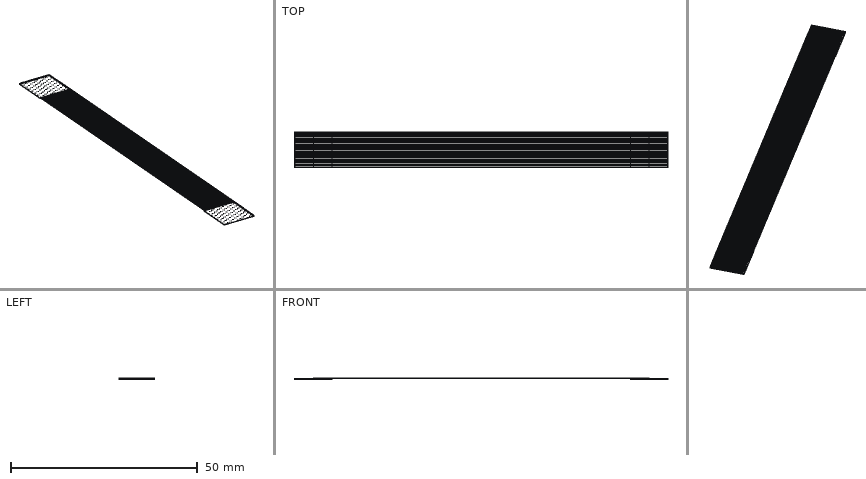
import cadquery as cq

cable_length = 100.0
conductor_pitch = 0.5
conductor_count = 18
conductor_width = 0.3
cable_width = (conductor_count + 1) * conductor_pitch

contact_length = 5.0
stiffener_length = 10.0
sleeve_length = cable_length - 2 * contact_length

total_thickness = 0.36
film_thickness = 0.05
conductor_thickness = 0.02
stiffener_thickness = total_thickness - 2 * film_thickness - conductor_thickness

base_bottom = stiffener_thickness
conductor_bottom = base_bottom + film_thickness
cover_bottom = conductor_bottom + conductor_thickness


def make_film(length, bottom):
    """Full-width film centred on the cable."""
    return cq.Workplane("XY").workplane(offset=bottom).rect(length, cable_width).extrude(film_thickness)


def make_conductors():
    """Evenly spaced flat conductors running the full length of the cable."""
    return (
        cq.Workplane("XY")
        .workplane(offset=conductor_bottom)
        .rarray(cable_length, conductor_pitch, 1, conductor_count)
        .rect(cable_length, conductor_width)
        .extrude(conductor_thickness)
    )


def make_side_walls():
    """Film closing the sleeve along both long sides, level with the conductors."""
    side_offset = (cable_width - film_thickness) / 2
    return (
        cq.Workplane("XY")
        .workplane(offset=conductor_bottom)
        .pushPoints([(0, -side_offset), (0, side_offset)])
        .rect(sleeve_length, film_thickness)
        .extrude(conductor_thickness)
    )


def make_stiffeners():
    """Backing plates flush with both ends of the cable."""
    end_offset = (cable_length - stiffener_length) / 2
    return (
        cq.Workplane("XY")
        .pushPoints([(-end_offset, 0), (end_offset, 0)])
        .rect(stiffener_length, cable_width)
        .extrude(stiffener_thickness)
    )


base_film = make_film(cable_length, base_bottom)
cover_film = make_film(sleeve_length, cover_bottom)

result = (
    base_film
    .union(make_conductors())
    .union(cover_film)
    .union(make_side_walls())
    .union(make_stiffeners())
)